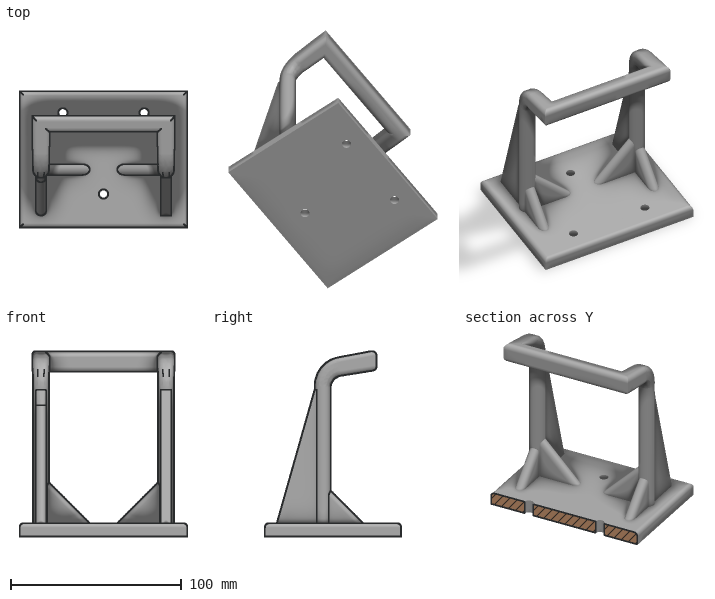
import cadquery as cq
import math

plate_length = 98.42
plate_width = 80.01
plate_thickness = 8.0
plate_edge_radius = 2.54

hole_diameter = 5.3
front_hole_y = -20.3
back_hole_x = 23.8
back_hole_y = 27.3

post_radius = 4.76
post_x = 36.65
post_y = -6.0
post_top = 88.2

rib_thickness = 6.35
rib_crest_flat = 0.13
rib_round = (rib_thickness - rib_crest_flat) / 2
side_rib_reach = 23.8
back_rib_reach = 18.9
gusset_reach = 26.95
gusset_top = 86.3
gusset_blend_z = 77.0
gusset_tip_round = 2.1

total_height = 108.85
frame_half_length = 41.8
frame_back_y = 25.6
arm_width = 10.3
bar_depth = 9.5
frame_round = 2.9
bend_radius = 11.7
arm_slope = math.radians(9.5)
bottom_slope = math.radians(9.0)
arm_height = 11.0

bend_end_y = post_y + bend_radius * (1 - math.sin(arm_slope))
bend_end_z = post_top + bend_radius * math.cos(arm_slope)


def make_plate():
    plate = cq.Workplane("XY").box(
        plate_length, plate_width, plate_thickness, centered=(True, True, False)
    )
    plate = plate.faces(">Z").edges().fillet(plate_edge_radius)
    hole_centres = [(0, front_hole_y), (-back_hole_x, back_hole_y), (back_hole_x, back_hole_y)]
    holes = (
        cq.Workplane("XY")
        .pushPoints(hole_centres)
        .circle(hole_diameter / 2)
        .extrude(plate_thickness)
    )
    return plate.cut(holes)


def make_post(x):
    return (
        cq.Workplane("XY")
        .center(x, post_y)
        .circle(post_radius)
        .extrude(post_top)
    )


def make_upright_rib(reach, height, rounded):
    """Rib along +X from the Z axis; its sloping face ends at `reach` on the plate."""
    foot = plate_thickness / 2
    slope = (reach - post_radius) / (height - plate_thickness)
    foot_reach = reach + slope * (plate_thickness - foot)
    rib = (
        cq.Workplane("XZ")
        .polyline([(0, foot), (foot_reach, foot), (post_radius, height), (0, height)])
        .close()
        .extrude(rib_thickness / 2, both=True)
    )
    if rounded:
        sloping_face = cq.selectors.DirectionNthSelector(cq.Vector(1, 0, slope), -1)
        rib = rib.faces(sloping_face).edges("not #Z").edges("not |Y").fillet(rib_round)
    return rib


def place_rib(rib, x, angle):
    return rib.rotate((0, 0, 0), (0, 0, 1), angle).translate((x, post_y, 0))


def make_45_degree_rib(reach):
    return make_upright_rib(post_radius + reach, plate_thickness + reach, True)


def draw_rib_section(workplane, reach, corner):
    """Level section of a rib along +X with its two outer corners rounded."""
    half_width = rib_thickness / 2
    corner_mid = corner * (1 - math.sqrt(0.5))
    return (
        workplane.moveTo(0, -half_width)
        .lineTo(reach - corner, -half_width)
        .threePointArc((reach - corner_mid, corner_mid - half_width), (reach, corner - half_width))
        .lineTo(reach, half_width - corner)
        .threePointArc((reach - corner_mid, half_width - corner_mid), (reach - corner, half_width))
        .lineTo(0, half_width)
        .close()
    )


def make_blended_gusset(reach):
    """Rounded rib whose edge rounding shrinks above the blend height."""
    rib = make_upright_rib(reach, gusset_top, True)
    above = (
        cq.Workplane("XY", origin=(0, 0, gusset_blend_z))
        .rect(2 * reach, 2 * rib_thickness)
        .extrude(gusset_top)
    )
    slope = (reach - post_radius) / (gusset_top - plate_thickness)
    blend_reach = post_radius + slope * (gusset_top - gusset_blend_z)
    tip = cq.Workplane("XY", origin=(0, 0, gusset_blend_z))
    tip = draw_rib_section(tip, blend_reach, rib_round)
    tip = tip.workplane(offset=gusset_top - gusset_blend_z)
    tip = draw_rib_section(tip, post_radius, gusset_tip_round)
    return rib.cut(above).union(tip.loft(ruled=True, combine=True))


def make_frame():
    """U-shaped frame of two arms joined by the bar, with all long edges rounded."""
    half_height = arm_height / 2
    front_top = (
        bend_end_y - half_height * math.sin(arm_slope),
        bend_end_z + half_height * math.cos(arm_slope),
    )
    front_bottom = (
        bend_end_y + half_height * math.sin(arm_slope),
        bend_end_z - half_height * math.cos(arm_slope),
    )
    round_y = frame_back_y - frame_round - front_top[0]
    round_z = total_height - frame_round - front_top[1]
    top_slope = math.atan2(round_z, round_y) + math.asin(frame_round / math.hypot(round_y, round_z))
    back_top = (
        frame_back_y,
        front_top[1] + (frame_back_y - front_top[0]) * math.tan(top_slope),
    )
    back_bottom = (
        frame_back_y,
        front_bottom[1] + (frame_back_y - front_bottom[0]) * math.tan(bottom_slope),
    )
    frame = (
        cq.Workplane("YZ")
        .polyline([front_top, back_top, back_bottom, front_bottom])
        .close()
        .extrude(frame_half_length, both=True)
    )
    opening_half_length = frame_half_length - arm_width
    opening_back_y = frame_back_y - bar_depth
    right_side = [
        (opening_half_length, opening_back_y),
        (post_x - post_radius, post_y),
        (post_x + post_radius, post_y),
        (frame_half_length, opening_back_y),
        (frame_half_length, frame_back_y),
    ]
    left_side = [(-x, y) for x, y in reversed(right_side)]
    plan = cq.Workplane("XY").polyline(right_side + left_side).close().extrude(2 * total_height)
    frame = frame.intersect(plan)
    sharp_edges = frame.faces("<Y").edges().vals() + frame.edges("|Z").vals()
    rounded_edges = frame.edges().filter(
        lambda edge: not any(edge.isSame(sharp) for sharp in sharp_edges)
    )
    return rounded_edges.fillet(frame_round)


def make_bend(frame, side):
    """Bend that turns the round post into the rounded rectangular end of one arm."""
    post_circle = cq.Wire.makeCircle(
        post_radius, cq.Vector(side * post_x, post_y, post_top), cq.Vector(0, 0, 1)
    )
    outer_side = "<X" if side < 0 else ">X"
    arm_end = frame.faces("<Y").faces(outer_side).val().outerWire()
    half_turn = (math.pi / 2 - arm_slope) / 2
    path = (
        cq.Workplane("YZ", origin=(side * post_x, 0, 0))
        .moveTo(post_y, post_top)
        .threePointArc(
            (
                post_y + bend_radius * (1 - math.cos(half_turn)),
                post_top + bend_radius * math.sin(half_turn),
            ),
            (bend_end_y, bend_end_z),
        )
    )
    return cq.Workplane(obj=cq.Solid.sweep_multi([post_circle, arm_end], path.val()))


frame = make_frame()
result = make_plate().union(frame)
for side in (-1, 1):
    x = side * post_x
    inward_angle = 0 if side < 0 else 180
    if side < 0:
        gusset = make_blended_gusset(gusset_reach)
    else:
        gusset = make_upright_rib(gusset_reach, gusset_top, False)
    result = result.union(make_post(x))
    result = result.union(place_rib(make_45_degree_rib(side_rib_reach), x, inward_angle))
    result = result.union(place_rib(make_45_degree_rib(back_rib_reach), x, 90))
    result = result.union(place_rib(gusset, x, -90))
    result = result.union(make_bend(frame, side))